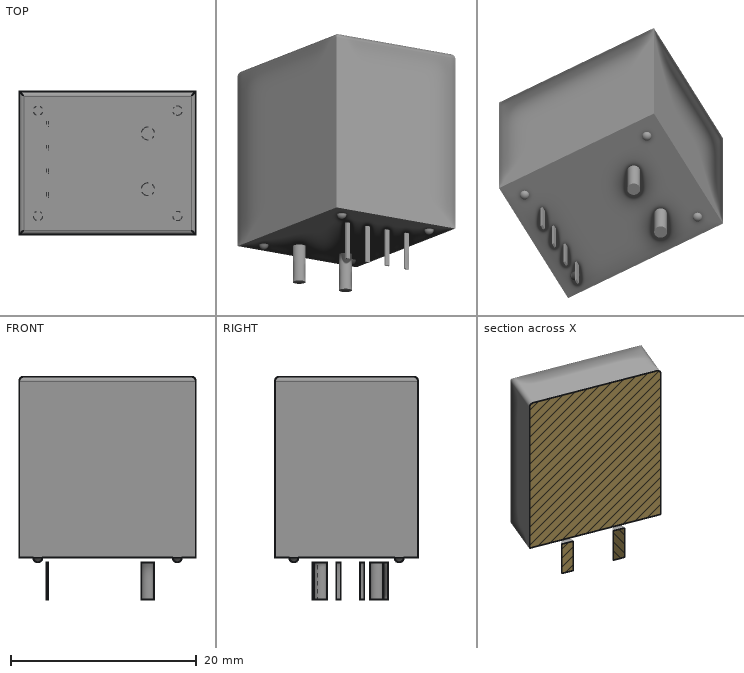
import cadquery as cq

housing_length = 19.0
housing_width = 15.4
top_edge_radius = 0.5

foot_radius = 0.5
foot_spacing_x = 15.0
foot_spacing_y = 11.33

pin_length = 4.0
overall_height = 24.0
housing_height = overall_height - foot_radius - pin_length
pin_top = -foot_radius

flat_pin_count = 4
flat_pin_thickness = 0.22
flat_pin_width = 0.5
flat_pin_pitch = 2.55
flat_row_x = -6.5
flat_row_center_y = 0.4

round_pin_diameter = 1.4
round_pin_spacing = 6.0
round_pair_x = 4.32
round_pair_center_y = 0.22


def make_housing():
    """Block with rounded top edges and four feet, spheres half sunk into its underside."""
    block = (
        cq.Workplane("XY")
        .rect(housing_length, housing_width)
        .extrude(housing_height)
        .faces(">Z")
        .edges()
        .fillet(top_edge_radius)
    )
    foot_centers = (
        cq.Workplane("XY")
        .rect(foot_spacing_x, foot_spacing_y, forConstruction=True)
        .vertices()
    )
    feet = foot_centers.sphere(foot_radius)
    return block.union(feet)


def make_flat_pin(y):
    """Rectangular contact pin centred at the given Y."""
    return (
        cq.Workplane("XY", origin=(flat_row_x, y, pin_top))
        .rect(flat_pin_thickness, flat_pin_width)
        .extrude(-pin_length)
    )


def make_round_pin(y):
    """Cylindrical pin centred at the given Y."""
    return (
        cq.Workplane("XY", origin=(round_pair_x, y, pin_top))
        .circle(round_pin_diameter / 2)
        .extrude(-pin_length)
    )


housing = make_housing()

flat_pins = []
for index in range(flat_pin_count):
    offset = (index - (flat_pin_count - 1) / 2) * flat_pin_pitch
    flat_pins.append(make_flat_pin(flat_row_center_y + offset).val())

round_pins = []
for side in (-1, 1):
    offset = side * round_pin_spacing / 2
    round_pins.append(make_round_pin(round_pair_center_y + offset).val())

result = cq.Compound.makeCompound([housing.val(), *flat_pins, *round_pins])